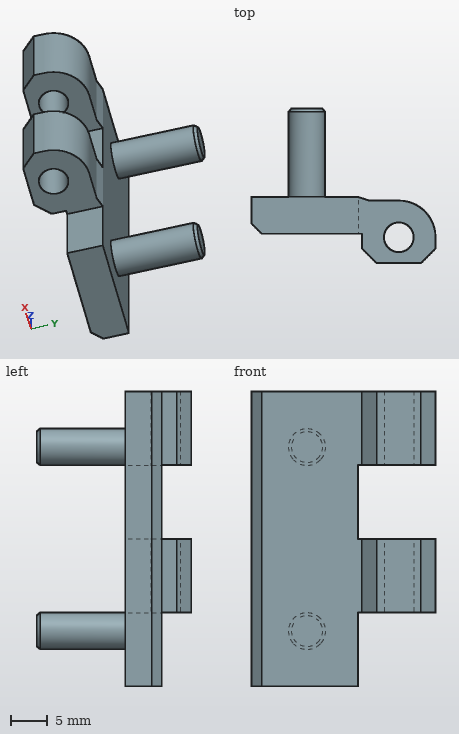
import cadquery as cq

plate_height = 40.0
plate_width = 14.5
plate_thickness = 5.0
plate_chamfer = 1.4

knuckle_height = plate_height / 4
knuckle_bottoms = (knuckle_height, 3 * knuckle_height)
knuckle_radius = 5.0
knuckle_chamfer = 2.0
knuckle_setback = 0.5
setback_end = 16.0
axis_x = 20.0
axis_y = -(knuckle_setback + knuckle_radius)
knuckle_left = axis_x - knuckle_radius
knuckle_right = axis_x + knuckle_radius
knuckle_front = -9.0
hinge_hole_diameter = 4.0

pin_diameter = 5.0
pin_length = 12.0
pin_tip_length = 0.5
pin_tip_inset = 0.4
pin_x = 7.5
pin_end_distance = 7.5
pin_heights = (pin_end_distance, plate_height - pin_end_distance)


def make_plate():
    """Full-height plate with its outer front edge chamfered."""
    return (
        cq.Workplane("XY")
        .moveTo(0, 0)
        .lineTo(plate_width, 0)
        .lineTo(plate_width, -plate_thickness)
        .lineTo(plate_chamfer, -plate_thickness)
        .lineTo(0, plate_chamfer - plate_thickness)
        .close()
        .extrude(plate_height)
    )


def make_knuckle(bottom):
    """Knuckle joined to the plate edge by a short sloped neck."""
    return (
        cq.Workplane("XY", origin=(0, 0, bottom))
        .moveTo(plate_width, 0)
        .lineTo(setback_end, -knuckle_setback)
        .lineTo(axis_x, -knuckle_setback)
        .radiusArc((knuckle_right, axis_y), knuckle_radius)
        .lineTo(knuckle_right, knuckle_front + knuckle_chamfer)
        .lineTo(knuckle_right - knuckle_chamfer, knuckle_front)
        .lineTo(knuckle_left + knuckle_chamfer, knuckle_front)
        .lineTo(knuckle_left, knuckle_front + knuckle_chamfer)
        .lineTo(knuckle_left, -plate_thickness)
        .lineTo(plate_width, -plate_thickness)
        .close()
        .extrude(knuckle_height)
    )


def make_pin(height):
    """Round pin with a tapered tip, revolved about its own axis along Y."""
    radius = pin_diameter / 2
    root_depth = plate_thickness / 2
    return (
        cq.Workplane("XY", origin=(pin_x, 0, height))
        .moveTo(0, -root_depth)
        .lineTo(radius, -root_depth)
        .lineTo(radius, pin_length - pin_tip_length)
        .lineTo(radius - pin_tip_inset, pin_length)
        .lineTo(0, pin_length)
        .close()
        .revolve(360, (0, 0, 0), (0, 1, 0))
    )


result = make_plate()
for knuckle_bottom in knuckle_bottoms:
    result = result.union(make_knuckle(knuckle_bottom))
for pin_height in pin_heights:
    result = result.union(make_pin(pin_height))

hinge_hole = (
    cq.Workplane("XY")
    .center(axis_x, axis_y)
    .circle(hinge_hole_diameter / 2)
    .extrude(plate_height)
)
result = result.cut(hinge_hole)